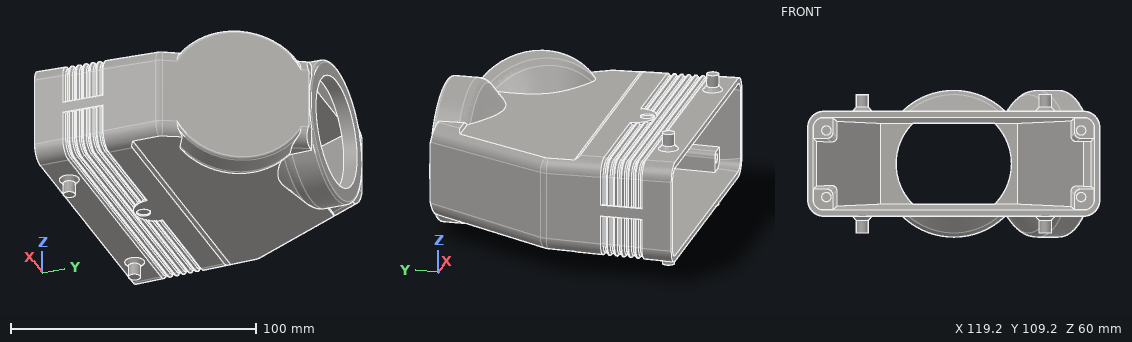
import cadquery as cq
import math

WIDTH = 119.2
FRONT_HEIGHT = 42.9
REAR_HEIGHT = 39.3
REAR_WIDTH = 60.8
LENGTH = 109.2
BODY_LENGTH = 108.7
SHOULDER_Y = 54.1
SHOULDER_WIDTH = 117.7
SHOULDER_RADIUS = 6.0
EDGE_RADIUS = 6.5
REAR_BEVEL_LENGTH = 1.8
REAR_BEVEL_DEPTH = 7.2

RELIEF_START = 40.1
RELIEF_END = 96.3
RELIEF_FRONT_RAMP = 1.5
RELIEF_REAR_RAMP = 1.2
RELIEF_FRONT_Z = 19.8
RELIEF_REAR_Z = 19.0

LIP_WALL = 2.1
MOUTH_HALF_HEIGHT = 19.0
REAR_HALF_HEIGHT = 16.5
CAVITY_LENGTH = 103.4
SIDE_WALL = 2.9
SLOPE_WALL = 3.0
PORT_SLOPE_WALL = 6.3
PORT_LEDGE_Y = 51.6
MOUTH_CORNER_RADIUS = 4.6

COLLAR_RADIUS = 29.99
COLLAR_DEPTH = 13.4
COLLAR_ROUND = 6.0
COLLAR_RIM_ROUND = 1.1
COLLAR_TIP_RADIUS = 14.3
PORT_RADIUS = 23.5
SIDE_PORT_Y = 83.1

GROOVE_COUNT = 6
GROOVE_PITCH = 3.0
GROOVE_DEPTH = 1.0
GROOVE_FLOOR = 0.8
GROOVE_FLANK = 1.0
BAND_START = 12.2
BAND_PROUD = 0.06
SIDE_GAP = 4.8
PAD_RADIUS = 9.0
DIMPLE_RADIUS = 2.9
DIMPLE_DEPTH = 0.6
DIMPLE_Y = 24.9

PIN_X = 37.3
PIN_Y = 6.7
PIN_RADIUS = 2.5
PIN_TOP_Z = 28.3
PIN_BASE_RADIUS = 4.2
PIN_BASE_Z = 21.2
PIN_BASE_TOP_Z = 23.1

POST_START_Y = 8.8
POST_LENGTH = 65.6
POST_INNER_X = 49.4
POST_INNER_Z = 10.4
POST_DRAFT = 1.6
POST_RADIUS = 2.3
SCREW_X = 52.0
SCREW_Z = 13.6
SCREW_RADIUS = 1.9
SCREW_DEPTH = 14.3

BAND_END = BAND_START + GROOVE_COUNT * GROOVE_PITCH
SLOPE_RATIO = (SHOULDER_WIDTH - REAR_WIDTH) / 2 / (BODY_LENGTH - SHOULDER_Y)
SLOPE_ANGLE = math.degrees(math.atan(SLOPE_RATIO))
SIGNS = (-1, 1)


def slope_x(y, wall=0.0):
    """Half width of the narrowing part at y, moved inward by a wall thickness."""
    outer = REAR_WIDTH / 2 + (BODY_LENGTH - y) * SLOPE_RATIO
    return outer - wall / math.cos(math.radians(SLOPE_ANGLE))


def half_width(y):
    """Half width of the straight front part at y."""
    return (WIDTH - (WIDTH - SHOULDER_WIDTH) * y / SHOULDER_Y) / 2


def half_height(y):
    """Half height of the body at y, without the relief."""
    return (FRONT_HEIGHT - (FRONT_HEIGHT - REAR_HEIGHT) * y / BODY_LENGTH) / 2


def side_prism(points):
    """Prism across the full width from a (y, z) outline."""
    return cq.Workplane("YZ").polyline(points).close().extrude(WIDTH, both=True)


def plan_prism(points):
    """Prism through the full height from an (x, y) outline."""
    return cq.Workplane("XY").polyline(points).close().extrude(FRONT_HEIGHT, both=True)


def wedge(front, rear, length):
    """Prism across the width whose half height runs from front to rear."""
    return side_prism([(0, -front), (0, front), (length, rear), (length, -rear)])


def make_rear_bevel():
    """Cutter for the long bevel where the top meets the rear face."""
    bevel_y = BODY_LENGTH - REAR_BEVEL_LENGTH
    return side_prism([
        (BODY_LENGTH, FRONT_HEIGHT),
        (bevel_y, FRONT_HEIGHT),
        (bevel_y, half_height(bevel_y)),
        (BODY_LENGTH, REAR_HEIGHT / 2 - REAR_BEVEL_DEPTH),
    ])


def make_body():
    right_side = [
        (WIDTH / 2, 0),
        (SHOULDER_WIDTH / 2, SHOULDER_Y),
        (REAR_WIDTH / 2, BODY_LENGTH),
    ]
    left_side = [(-x, y) for x, y in reversed(right_side)]
    shoulders = cq.selectors.BoxSelector(
        (-WIDTH, SHOULDER_Y - 1.2, -1.2), (WIDTH, SHOULDER_Y + 1.2, 1.2)
    )
    plan = plan_prism(right_side + left_side).edges(shoulders).fillet(SHOULDER_RADIUS)
    body = plan.intersect(wedge(FRONT_HEIGHT / 2, REAR_HEIGHT / 2, BODY_LENGTH))
    body = body.faces("<Z or >Z").edges("not(|X)").fillet(EDGE_RADIUS)
    bevel = make_rear_bevel()
    return body.cut(bevel).cut(bevel.mirror("XY"))


def make_relief():
    """Cutter for the top relief, ramped at both ends."""
    return side_prism([
        (RELIEF_START, FRONT_HEIGHT),
        (RELIEF_START, half_height(RELIEF_START)),
        (RELIEF_START + RELIEF_FRONT_RAMP, RELIEF_FRONT_Z),
        (RELIEF_END - RELIEF_REAR_RAMP, RELIEF_REAR_Z),
        (RELIEF_END, half_height(RELIEF_END)),
        (RELIEF_END, FRONT_HEIGHT),
    ])


def body_section(y, inset):
    """Rounded cross-section of the body at y, moved inward by an inset."""
    section = cq.Sketch().rect(2 * (half_width(y) - inset), 2 * (half_height(y) - inset))
    return section.vertices().fillet(EDGE_RADIUS - inset).moved(cq.Location(cq.Vector(0, 0, -y)))


def groove_part(y_start, inset_start, y_end, inset_end):
    """Core of one stretch of a groove, between two cross-sections."""
    sections = (body_section(y_start, inset_start), body_section(y_end, inset_end))
    return cq.Workplane("XZ").placeSketch(*sections).loft(ruled=True)


def make_groove(y_middle):
    """Ring with a flat floor and sloping flanks."""
    floor = GROOVE_FLOOR / 2
    rim = floor + GROOVE_FLANK
    ring = cq.Workplane("XZ", origin=(0, y_middle - rim, 0)).rect(
        WIDTH + EDGE_RADIUS, FRONT_HEIGHT + EDGE_RADIUS
    ).extrude(-2 * rim)
    front_flank = groove_part(y_middle - rim, -BAND_PROUD, y_middle - floor, GROOVE_DEPTH)
    floor_core = groove_part(y_middle - floor, GROOVE_DEPTH, y_middle + floor, GROOVE_DEPTH)
    rear_flank = groove_part(y_middle + floor, GROOVE_DEPTH, y_middle + rim, -BAND_PROUD)
    return ring.cut(front_flank).cut(floor_core).cut(rear_flank)


def groove_breaks():
    """Places left smooth: a strip on each side and a half-round pad on top and bottom."""
    strip = cq.Workplane("XY").box(2 * WIDTH, 2 * LENGTH, SIDE_GAP)
    pad = cq.Workplane("XY").center(0, BAND_END).circle(PAD_RADIUS).extrude(FRONT_HEIGHT, both=True)
    return strip.union(pad)


def make_dimple(side):
    floor_z = half_height(DIMPLE_Y) - DIMPLE_DEPTH
    dimple = cq.Workplane("XY", origin=(0, DIMPLE_Y, side * floor_z)).circle(DIMPLE_RADIUS)
    return dimple.extrude(side * FRONT_HEIGHT)


def make_collar():
    """Collar about the Y axis, with its end face at y = 0 and a cone running to -Y."""
    tip_y = -COLLAR_DEPTH - (COLLAR_RADIUS - COLLAR_TIP_RADIUS)
    collar = cq.Workplane("XY").polyline([
        (0, 0),
        (COLLAR_RADIUS, 0),
        (COLLAR_RADIUS, -COLLAR_DEPTH),
        (COLLAR_TIP_RADIUS, tip_y),
        (0, tip_y),
    ]).close().revolve(360, (0, 0, 0), (0, 1, 0))
    shoulder = cq.selectors.BoxSelector(
        (-WIDTH, -COLLAR_DEPTH - 1.2, -WIDTH), (WIDTH, -COLLAR_DEPTH + 1.2, WIDTH), boundingbox=True
    )
    collar = collar.edges(shoulder).fillet(COLLAR_ROUND)
    return collar.faces(">Y").edges().fillet(COLLAR_RIM_ROUND)


def make_side_collar():
    """Collar square to the +X slope, trimmed flush with the rear face."""
    turn = SLOPE_ANGLE - 90
    collar = make_collar().rotate((0, 0, 0), (0, 0, 1), turn)
    collar = collar.translate((slope_x(SIDE_PORT_Y), SIDE_PORT_Y, 0))
    return collar.intersect(cq.Workplane("XY").box(2 * WIDTH, 2 * BODY_LENGTH, WIDTH))


def make_pin(side):
    """Locking pin on a conical foot, on the top (side = 1) or bottom (side = -1)."""
    pin = cq.Workplane("XZ").polyline([
        (0, 0),
        (PIN_BASE_RADIUS, 0),
        (PIN_BASE_RADIUS, side * PIN_BASE_Z),
        (PIN_RADIUS, side * PIN_BASE_TOP_Z),
        (PIN_RADIUS, side * PIN_TOP_Z),
        (0, side * PIN_TOP_Z),
    ]).close()
    return pin.revolve(360, (0, 0, 0), (0, 1, 0)).translate((0, PIN_Y, 0))


def make_post(x_side, z_side):
    """Screw post growing slightly toward its root, rounded on its free edge."""
    post_width = WIDTH - 2 * POST_INNER_X
    post_height = FRONT_HEIGHT - 2 * POST_INNER_Z
    growth = POST_LENGTH * math.tan(math.radians(POST_DRAFT))
    root = cq.Workplane("XZ", origin=(WIDTH / 2, POST_START_Y + POST_LENGTH, FRONT_HEIGHT / 2))
    post = root.rect(post_width + 2 * growth, post_height + 2 * growth)
    post = post.extrude(POST_LENGTH, taper=POST_DRAFT)
    post = post.edges("not #Y").edges("<X").edges("<Z").fillet(POST_RADIUS)
    if x_side < 0:
        post = post.mirror("YZ")
    if z_side < 0:
        post = post.mirror("XY")
    return post


def make_screw_hole(x_side, z_side):
    hole = cq.Workplane("XZ", origin=(x_side * SCREW_X, POST_START_Y, z_side * SCREW_Z))
    return hole.circle(SCREW_RADIUS).extrude(-SCREW_DEPTH)


def make_cavity():
    mouth_x = WIDTH / 2 - LIP_WALL
    side_x = SHOULDER_WIDTH / 2 - SIDE_WALL
    left_corner_y = BODY_LENGTH - (side_x - slope_x(BODY_LENGTH, SLOPE_WALL)) / SLOPE_RATIO
    cavity = plan_prism([
        (mouth_x, 0),
        (side_x, PORT_LEDGE_Y),
        (slope_x(PORT_LEDGE_Y, PORT_SLOPE_WALL), PORT_LEDGE_Y),
        (slope_x(CAVITY_LENGTH, PORT_SLOPE_WALL), CAVITY_LENGTH),
        (-slope_x(CAVITY_LENGTH, SLOPE_WALL), CAVITY_LENGTH),
        (-side_x, left_corner_y),
        (-mouth_x, 0),
    ])
    cavity = cavity.intersect(wedge(MOUTH_HALF_HEIGHT, REAR_HALF_HEIGHT, CAVITY_LENGTH))
    mouth = cq.Workplane("XZ").rect(2 * mouth_x, 2 * MOUTH_HALF_HEIGHT).extrude(-LENGTH)
    cavity = cavity.intersect(mouth.edges("|Y").fillet(MOUTH_CORNER_RADIUS))
    for x_side in SIGNS:
        for z_side in SIGNS:
            cavity = cavity.cut(make_post(x_side, z_side))
            cavity = cavity.union(make_screw_hole(x_side, z_side))
    return cavity


body = make_body()
relief = make_relief()
body = body.cut(relief).cut(relief.mirror("XY"))

breaks = groove_breaks()
for index in range(GROOVE_COUNT):
    groove = make_groove(BAND_START + (index + 0.5) * GROOVE_PITCH)
    body = body.cut(groove.cut(breaks))

body = body.union(make_collar().translate((0, LENGTH, 0))).union(make_side_collar())
for side in SIGNS:
    body = body.cut(make_dimple(side))
    for x in (-PIN_X, PIN_X):
        body = body.union(make_pin(side).translate((x, 0, 0)))

port = cq.Workplane("XZ").circle(PORT_RADIUS).extrude(LENGTH - CAVITY_LENGTH)
port = port.translate((0, LENGTH, 0))
result = body.cut(make_cavity()).cut(port)